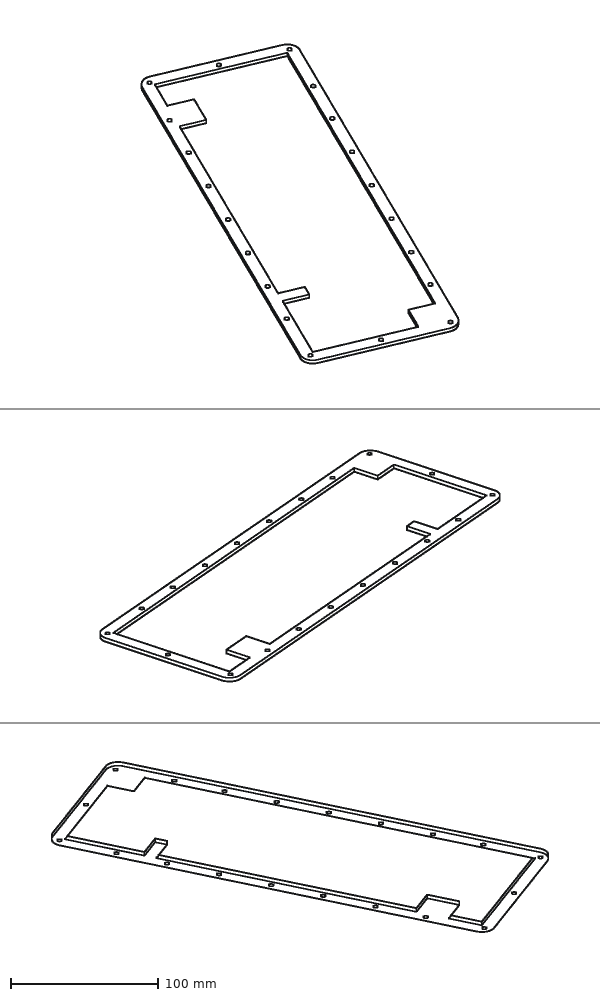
import cadquery as cq

length = 324.0
width = 114.3
thickness = 3.0
rail = 9.0
corner_radius = 9.0

tab_reach = 19.5
wide_tab_left = -128.5
wide_tab_width = 23.5
narrow_tab_left = 85.8
narrow_tab_width = 8.7
corner_tab_width = 19.5

rail_hole_diameter = 3.2
end_hole_diameter = 3.1
rail_hole_y = 52.0
rail_hole_pitch = 38.2
outer_rail_hole_x = 113.5
inner_rail_hole_count = 5
corner_hole_x = 155.8
corner_hole_y = 51.0
end_hole_x = 157.0

opening_length = length - 2 * rail
opening_width = width - 2 * rail
opening_right = opening_length / 2
opening_top = opening_width / 2


def make_frame():
    """Rounded plate with a sharp-cornered rectangular opening."""
    plate = cq.Workplane("XY").box(length, width, thickness).edges("|Z").fillet(corner_radius)
    opening = cq.Workplane("XY").box(opening_length, opening_width, thickness)
    return plate.cut(opening)


def make_tab(left, tab_width, root_y, direction):
    """Tab from the rail edge at root_y; it overlaps the rail by half the rail width."""
    overlap = rail / 2
    center_y = root_y + direction * (tab_reach - overlap) / 2
    tab = cq.Workplane("XY").box(tab_width, tab_reach + overlap, thickness)
    return tab.translate((left + tab_width / 2, center_y, 0))


def make_holes(points, diameter):
    """Through-hole cutters at the given points."""
    return cq.Workplane("XY").pushPoints(points).circle(diameter / 2).extrude(thickness, both=True)


wide_tab = make_tab(wide_tab_left, wide_tab_width, -opening_top, 1)
narrow_tab = make_tab(narrow_tab_left, narrow_tab_width, -opening_top, 1)
corner_tab_left = opening_right - corner_tab_width
corner_tab = make_tab(corner_tab_left, corner_tab_width, opening_top, -1)

middle_index = inner_rail_hole_count // 2
rail_hole_xs = [(i - middle_index) * rail_hole_pitch for i in range(inner_rail_hole_count)]
rail_hole_xs += [-outer_rail_hole_x, outer_rail_hole_x]
rail_holes = [(x, side * rail_hole_y) for x in rail_hole_xs for side in (-1, 1)]

end_holes = [(sx * corner_hole_x, sy * corner_hole_y) for sx in (-1, 1) for sy in (-1, 1)]
end_holes += [(-end_hole_x, 0), (end_hole_x, 0)]

result = make_frame().union(wide_tab).union(narrow_tab).union(corner_tab)
result = result.cut(make_holes(rail_holes, rail_hole_diameter))
result = result.cut(make_holes(end_holes, end_hole_diameter))